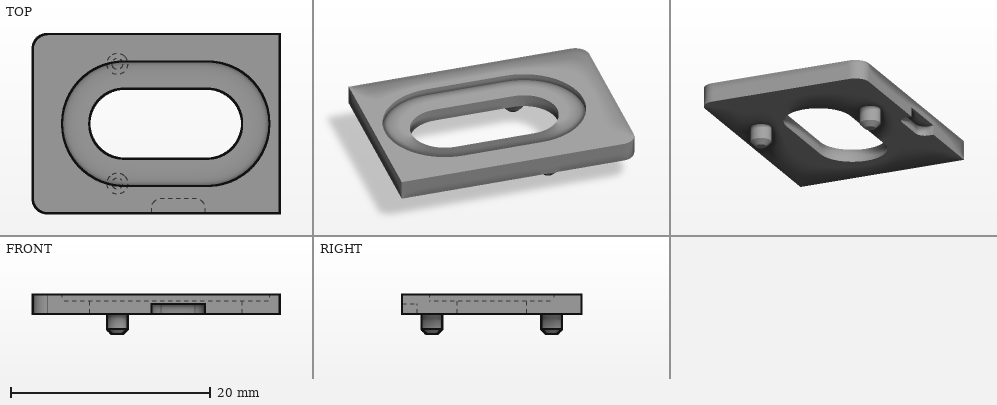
import cadquery as cq

plate_length = 24.8
plate_width = 18.0
plate_thickness = 2.0
corner_radius = 1.5
left_side = -plate_length / 2
front_side = -plate_width / 2

window_center_x = left_side + 13.35
arc_center_spacing = 8.3
opening_width = 7.0
recess_width = 12.5
recess_depth = 0.7

notch_length = 5.4
notch_center_x = left_side + 14.6
notch_height = 1.0
notch_depth = 1.5
notch_corner_radius = 1.0

pin_diameter = 2.1
pin_length = 2.0
pin_chamfer = 0.5
pin_x = left_side + 8.5
pin_spacing = 12.0


def make_plate():
    """Flat plate with its two left corners rounded."""
    plate = cq.Workplane("XY").box(
        plate_length, plate_width, plate_thickness, centered=(True, True, False)
    )
    return plate.edges("|Z and <X").fillet(corner_radius)


def make_oblong(width, bottom_z):
    """Oblong cutter from bottom_z up to the top of the plate."""
    return (
        cq.Workplane("XY", origin=(window_center_x, 0, bottom_z))
        .slot2D(arc_center_spacing + width, width)
        .extrude(plate_thickness - bottom_z)
    )


def make_notch():
    """Block cutter with rounded inner corners, open to the front and below."""
    notch = cq.Workplane("XY").box(
        notch_length, notch_depth, notch_height, centered=(True, False, False)
    )
    notch = notch.edges("|Z and >Y").fillet(notch_corner_radius)
    return notch.translate((notch_center_x, front_side, 0))


def make_pin(y):
    """Round pin hanging from the underside of the plate, with a chamfered tip."""
    pin = cq.Workplane("XY").circle(pin_diameter / 2).extrude(-pin_length)
    return pin.faces("<Z").chamfer(pin_chamfer).translate((pin_x, y, 0))


result = make_plate()
for pin_y in (-pin_spacing / 2, pin_spacing / 2):
    result = result.union(make_pin(pin_y))
result = result.cut(make_oblong(opening_width, 0))
result = result.cut(make_oblong(recess_width, plate_thickness - recess_depth))
result = result.cut(make_notch())